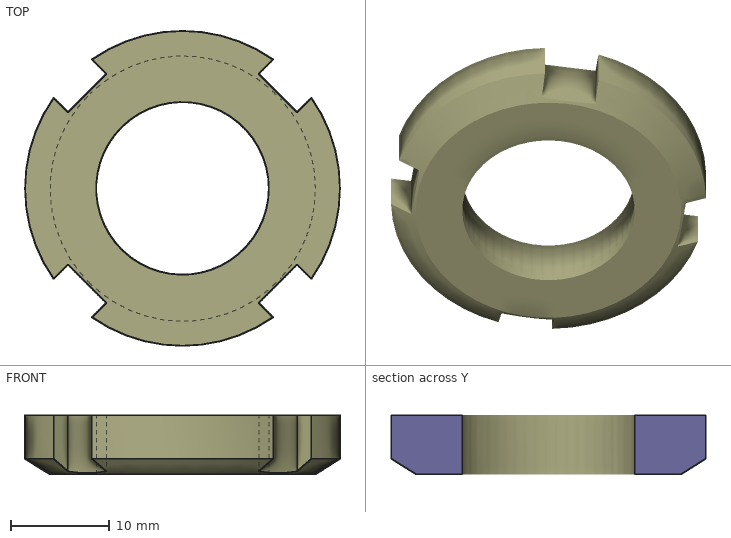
import cadquery as cq

outer_diameter = 32.0
thickness = 6.0
bore_diameter = 17.5
chamfer_width = 2.53
chamfer_height = 1.6
slot_count = 4
slot_width = 5.5
slot_floor = 13.7
first_slot_angle = 45.0

outer_radius = outer_diameter / 2
bore_radius = bore_diameter / 2


def ring():
    """Revolved ring with a chamfered lower outer edge."""
    profile = [
        (bore_radius, 0),
        (outer_radius - chamfer_width, 0),
        (outer_radius, chamfer_height),
        (outer_radius, thickness),
        (bore_radius, thickness),
    ]
    return cq.Workplane("XZ").polyline(profile).close().revolve(360, (0, 0), (0, 1))


def slot_cutter(angle):
    """Full-height block that cuts one spanner slot in the rim."""
    block = cq.Workplane("XY").box(outer_radius, slot_width, thickness, centered=(False, True, False))
    return block.translate((slot_floor, 0, 0)).rotate((0, 0, 0), (0, 0, 1), angle)


result = ring()
for index in range(slot_count):
    result = result.cut(slot_cutter(first_slot_angle + index * 360 / slot_count))